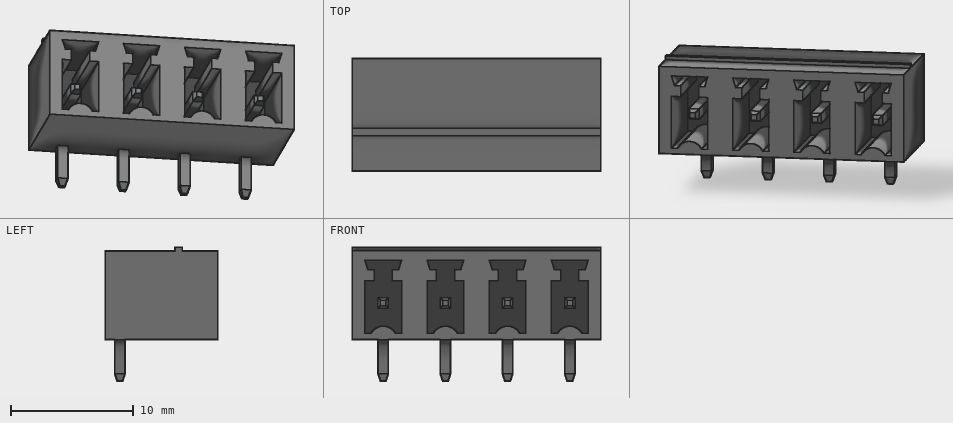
import cadquery as cq

POLE_COUNT = 4
PITCH = 5.08
HOUSING_LENGTH = POLE_COUNT * PITCH
HOUSING_DEPTH = 9.2
HOUSING_HEIGHT = 7.25

RIB_FRONT = 2.9
RIB_WIDTH = 0.6
RIB_HEIGHT = 0.3

SOCKET_DEPTH = 7.4
SOCKET_WIDTH = 3.0
SOCKET_FLOOR = 0.5
SOCKET_TOP = 6.5
NECK_WIDTH = 1.5
NECK_BOTTOM = 4.8
NECK_TOP = 5.7
DOVETAIL_BASE_WIDTH = 2.5
FLOOR_RIDGE_WIDTH = 2.0
FLOOR_RIDGE_HEIGHT = 0.6

PIN_WIDTH = 0.85
PIN_TIP_WIDTH = 0.45
PIN_TAPER_LENGTH = 0.6
CONTACT_TIP_Y = 1.4
CONTACT_Z = 3.0
TAIL_Y = 8.0
TAIL_LENGTH = 3.4


def make_housing():
    """Rectangular body with a rib running its full length."""
    body = cq.Workplane("XY").box(
        HOUSING_LENGTH, HOUSING_DEPTH, HOUSING_HEIGHT, centered=(True, False, False)
    )
    rib = (
        cq.Workplane("XY", origin=(0, RIB_FRONT, HOUSING_HEIGHT))
        .box(HOUSING_LENGTH, RIB_WIDTH, RIB_HEIGHT, centered=(True, False, False))
    )
    return body.union(rib)


def make_socket(x):
    """Keyhole-shaped cavity with a dovetail top and a rounded ridge on its floor."""
    half_width = SOCKET_WIDTH / 2
    half_neck = NECK_WIDTH / 2
    half_dovetail = DOVETAIL_BASE_WIDTH / 2
    half_ridge = FLOOR_RIDGE_WIDTH / 2
    return (
        cq.Workplane("XZ", origin=(x, 0, 0))
        .moveTo(-half_width, SOCKET_FLOOR)
        .lineTo(-half_ridge, SOCKET_FLOOR)
        .threePointArc((0, SOCKET_FLOOR + FLOOR_RIDGE_HEIGHT), (half_ridge, SOCKET_FLOOR))
        .lineTo(half_width, SOCKET_FLOOR)
        .lineTo(half_width, NECK_BOTTOM)
        .lineTo(half_neck, NECK_BOTTOM)
        .lineTo(half_neck, NECK_TOP)
        .lineTo(half_dovetail, NECK_TOP)
        .lineTo(half_width, SOCKET_TOP)
        .lineTo(-half_width, SOCKET_TOP)
        .lineTo(-half_dovetail, NECK_TOP)
        .lineTo(-half_neck, NECK_TOP)
        .lineTo(-half_neck, NECK_BOTTOM)
        .lineTo(-half_width, NECK_BOTTOM)
        .close()
        .extrude(-SOCKET_DEPTH)
    )


def make_tapered_bar(tip, direction, length):
    """Square bar that starts at its narrow tip and runs along the given direction."""
    tip_plane = cq.Plane(origin=tip, xDir=(1, 0, 0), normal=direction)
    taper = (
        cq.Workplane(tip_plane)
        .rect(PIN_TIP_WIDTH, PIN_TIP_WIDTH)
        .workplane(offset=PIN_TAPER_LENGTH)
        .rect(PIN_WIDTH, PIN_WIDTH)
        .loft(ruled=True)
    )
    shank = (
        cq.Workplane(tip_plane)
        .workplane(offset=PIN_TAPER_LENGTH)
        .rect(PIN_WIDTH, PIN_WIDTH)
        .extrude(length - PIN_TAPER_LENGTH)
    )
    return taper.union(shank)


def make_pin(x):
    """Contact inside the socket joined to a solder tail below the housing."""
    half_pin = PIN_WIDTH / 2
    contact_length = TAIL_Y + half_pin - CONTACT_TIP_Y
    tail_length = TAIL_LENGTH + CONTACT_Z + half_pin
    contact = make_tapered_bar((x, CONTACT_TIP_Y, CONTACT_Z), (0, 1, 0), contact_length)
    tail = make_tapered_bar((x, TAIL_Y, -TAIL_LENGTH), (0, 0, 1), tail_length)
    return contact.union(tail)


result = make_housing()
for pole in range(POLE_COUNT):
    pole_x = (pole - (POLE_COUNT - 1) / 2) * PITCH
    result = result.cut(make_socket(pole_x)).union(make_pin(pole_x))